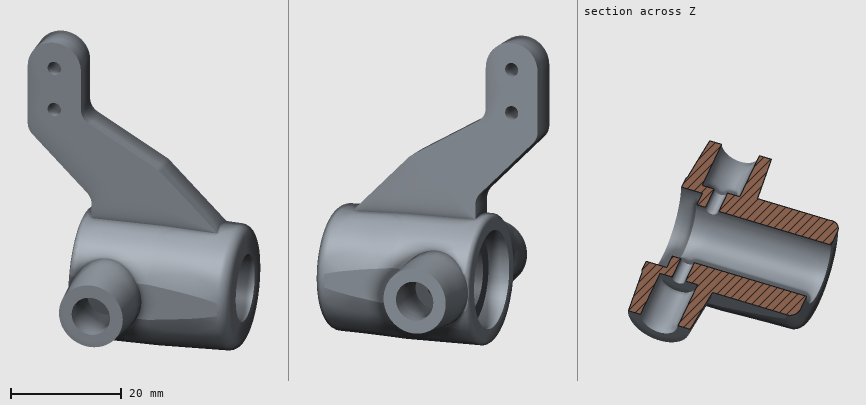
import cadquery as cq
import math

hub_length = 30.0
hub_radius = 12.0
straight_length = 15.0
hub_end_radius = 11.5
hub_front_round = 1.0
hub_rear_round = 2.0
taper_blend_radius = 10.0

flat_offset = 11.5
flat_end_x = hub_length - hub_rear_round

seat_radius = 9.0
seat_depth = 4.0
bore_radius = 6.2

boss_x = 7.0
boss_root_y = 9.5
boss_tip_y = 20.78
boss_tip_radius = 6.0
boss_draft = 5.0
socket_radius = 3.6
socket_depth = 10.0
pin_hole_radius = 1.25

arm_thickness = 6.0
arm_tip_radius = 5.0
arm_tip_x = -5.0
arm_tip_z = 40.0
arm_left_x = arm_tip_x - arm_tip_radius
arm_right_x = arm_tip_x + arm_tip_radius
arm_root_x = 2.0
arm_lower_diagonal = 17.6
arm_upper_diagonal = 37.0
arm_shoulder_z = 30.8
arm_shoulder_angle = 30.0
arm_bend_radius = 3.0
link_hole_radius = 1.25
link_hole_spacing = 8.0


def cylinder_y(x, z, radius, start_y, end_y):
    """Cylinder along Y between two Y positions."""
    return cq.Workplane("XZ", origin=(x, start_y, z)).circle(radius).extrude(start_y - end_y)


def cylinder_x(radius, start_x, end_x):
    """Cylinder on the hub axis between two X positions."""
    return cq.Workplane("YZ", origin=(start_x, 0, 0)).circle(radius).extrude(end_x - start_x)


def make_hub():
    """Barrel with rounded ends and a soft transition into its taper."""
    taper_angle = math.atan2(hub_radius - hub_end_radius, hub_length - straight_length)
    blend_reach = taper_blend_radius * math.tan(taper_angle / 2)
    blend_end_x = straight_length + blend_reach * math.cos(taper_angle)
    blend_end_radius = hub_radius - blend_reach * math.sin(taper_angle)
    blend_middle_x = straight_length - blend_reach + taper_blend_radius * math.sin(taper_angle / 2)
    blend_middle_radius = hub_radius - taper_blend_radius * (1 - math.cos(taper_angle / 2))
    hub = (
        cq.Workplane("XY")
        .lineTo(0, hub_radius)
        .lineTo(straight_length - blend_reach, hub_radius)
        .threePointArc((blend_middle_x, blend_middle_radius), (blend_end_x, blend_end_radius))
        .lineTo(hub_length, hub_end_radius)
        .lineTo(hub_length, 0)
        .close()
        .revolve(360, (0, 0, 0), (1, 0, 0))
    )
    hub = hub.faces("<X").edges().fillet(hub_front_round)
    return hub.faces(">X").edges().fillet(hub_rear_round)


def cut_side_flats(hub):
    """Flatten both sides of the hub, stopping where the rear rounding starts."""
    flat_height = 2 * hub_radius
    flat_depth = hub_radius
    for side in (-1, 1):
        cutter = cq.Workplane("XY").box(flat_end_x, flat_depth, flat_height, centered=(False, True, True))
        hub = hub.cut(cutter.translate((0, side * (flat_offset + flat_depth / 2), 0)))
    return hub


def make_boss(side):
    """Tapered boss from inside the hub wall out to one side (+1 or -1 in Y)."""
    root_radius = boss_tip_radius + (boss_tip_y - boss_root_y) * math.tan(math.radians(boss_draft))
    return (
        cq.Workplane("XY")
        .moveTo(boss_x, side * boss_root_y)
        .lineTo(boss_x + root_radius, side * boss_root_y)
        .lineTo(boss_x + boss_tip_radius, side * boss_tip_y)
        .lineTo(boss_x, side * boss_tip_y)
        .close()
        .revolve(360, (boss_x, 0, 0), (boss_x, 1, 0))
    )


def make_arm():
    """Cranked plate rising from the hub, with two link holes near its tip."""
    shoulder_slope = math.tan(math.radians(arm_shoulder_angle))
    knee_x = arm_right_x + (arm_upper_diagonal - arm_right_x - arm_shoulder_z) / (1 - shoulder_slope)
    knee_z = arm_upper_diagonal - knee_x
    bends = [
        (arm_left_x, arm_lower_diagonal - arm_left_x),
        (arm_root_x, arm_lower_diagonal - arm_root_x),
        (knee_x, knee_z),
        (arm_right_x, arm_shoulder_z),
    ]
    foot_z = (seat_radius + hub_end_radius) / 2
    arm = (
        cq.Workplane("XZ", origin=(0, arm_thickness / 2, 0))
        .moveTo(arm_left_x, arm_tip_z)
        .lineTo(*bends[0])
        .lineTo(*bends[1])
        .lineTo(arm_root_x, foot_z)
        .lineTo(arm_upper_diagonal - foot_z, foot_z)
        .lineTo(*bends[2])
        .lineTo(*bends[3])
        .lineTo(arm_right_x, arm_tip_z)
        .threePointArc((arm_tip_x, arm_tip_z + arm_tip_radius), (arm_left_x, arm_tip_z))
        .close()
        .extrude(arm_thickness)
    )
    for x, z in bends:
        arm = arm.edges(cq.NearestToPointSelector((x, 0, z))).fillet(arm_bend_radius)
    for hole_z in (arm_tip_z, arm_tip_z - link_hole_spacing):
        arm = arm.cut(cylinder_y(arm_tip_x, hole_z, link_hole_radius, -arm_thickness, arm_thickness))
    return arm


def cut_bores(body):
    """Shaft bore, bearing seat, boss sockets and the pin hole through both bosses."""
    body = body.cut(cylinder_x(bore_radius, 0, hub_length))
    body = body.cut(cylinder_x(seat_radius, 0, seat_depth))
    for side in (-1, 1):
        socket_floor_y = side * (boss_tip_y - socket_depth)
        body = body.cut(cylinder_y(boss_x, 0, socket_radius, side * boss_tip_y, socket_floor_y))
    return body.cut(cylinder_y(boss_x, 0, pin_hole_radius, -boss_tip_y, boss_tip_y))


body = cut_side_flats(make_hub())
for boss_side in (-1, 1):
    body = body.union(make_boss(boss_side))
body = body.union(make_arm())
result = cut_bores(body)